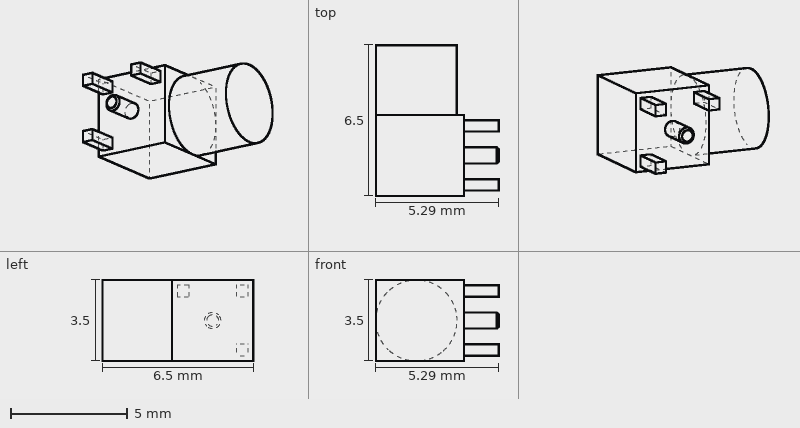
import cadquery as cq

barrel_diameter = 3.5
barrel_length = 3.0
block_length = 3.8
block_width = barrel_diameter
block_height = barrel_diameter

terminal_length = 1.495
leg_side = 0.5
leg_pitch = 2.54
pin_diameter = 0.7
pin_chamfer = 0.1

barrel_x = barrel_diameter / 2


def make_housing():
    block = cq.Workplane("XY").box(block_length, block_width, block_height, centered=(False, True, True))
    barrel = (
        cq.Workplane("XZ", origin=(barrel_x, block_width / 2, 0))
        .circle(barrel_diameter / 2)
        .extrude(-barrel_length)
    )
    return block.union(barrel)


def make_leg(y, z):
    return cq.Workplane("YZ", origin=(block_length, y, z)).rect(leg_side, leg_side).extrude(terminal_length)


def make_center_pin():
    return (
        cq.Workplane("YZ", origin=(block_length, 0, 0))
        .circle(pin_diameter / 2)
        .extrude(terminal_length)
        .faces(">X")
        .chamfer(pin_chamfer)
    )


leg_offset = leg_pitch / 2
leg_positions = [
    (-leg_offset, -leg_offset),
    (-leg_offset, leg_offset),
    (leg_offset, leg_offset),
]

housing = make_housing()
legs = [make_leg(y, z) for y, z in leg_positions]
center_pin = make_center_pin()

result = cq.Compound.makeCompound([housing.val(), *[leg.val() for leg in legs], center_pin.val()])